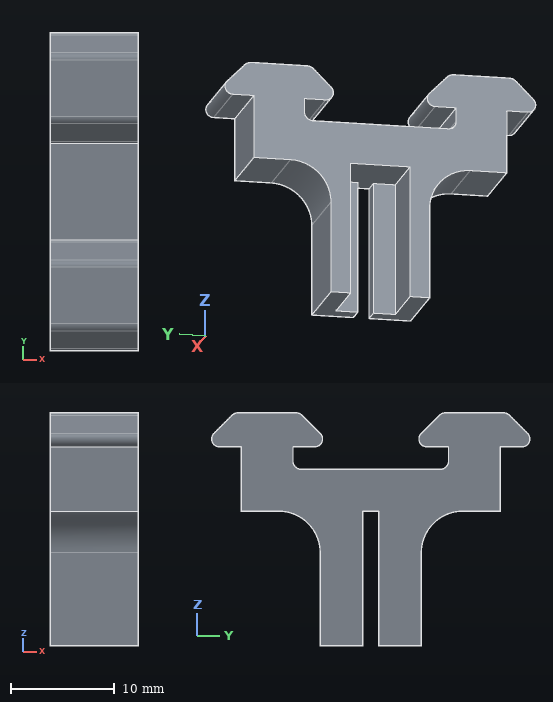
import cadquery as cq
import math

depth = 8.5
total_width = 30.7
total_height = 22.5

head_spacing = 20.0
head_height = 3.32
head_slope = 45.0
tip_radius = 0.77
shoulder_radius = 0.98

post_width = 5.0
floor_drop = 5.47
underside_drop = 9.52
floor_radius = 0.8

leg_outer_width = 9.77
leg_gap = 5.87
leg_blend_radius = 4.0
lip_gap = 1.55
lip_depth = 2.0

head_center = head_spacing / 2
head_half_width = total_width / 2 - head_center
head_bottom = total_height - head_height
floor_height = total_height - floor_drop
underside = total_height - underside_drop
bar_half_width = head_center + post_width / 2
post_inner = head_center - post_width / 2


def box(y_min, y_max, z_min, z_max, x_min=0):
    """Block between the given Y and Z limits, running from x_min to the +X end."""
    size = (depth - x_min, y_max - y_min, z_max - z_min)
    return cq.Workplane("XY").box(*size, centered=False).translate((x_min, y_min, z_min))


def make_head(center):
    """Trapezoidal head with rounded tips and softened upper corners."""
    tip_setback = tip_radius / math.tan(math.radians(head_slope / 2))
    base_half = head_half_width - tip_radius + tip_setback
    top_half = base_half - head_height / math.tan(math.radians(head_slope))
    head = (
        cq.Workplane("YZ")
        .moveTo(center - base_half, head_bottom)
        .lineTo(center + base_half, head_bottom)
        .lineTo(center + top_half, total_height)
        .lineTo(center - top_half, total_height)
        .close()
        .extrude(depth)
    )
    head = head.faces("<Z").edges("|X").fillet(tip_radius)
    return head.faces(">Z").edges("|X").fillet(shoulder_radius)


def make_body():
    """Cross bar with its two posts, rounded where the posts rise from the floor."""
    bar = box(-bar_half_width, bar_half_width, underside, head_bottom)
    channel = box(-post_inner, post_inner, floor_height, head_bottom)
    channel = channel.faces("<Z").edges("|X").fillet(floor_radius)
    return bar.cut(channel)


def make_stem():
    """Outer envelope of both legs, flaring into the underside of the bar."""
    half = leg_outer_width / 2
    flare_half = half + leg_blend_radius
    flare_bottom = underside - leg_blend_radius
    arc_reach = leg_blend_radius * math.sqrt(0.5)
    arc_y = flare_half - arc_reach
    arc_z = flare_bottom + arc_reach
    return (
        cq.Workplane("YZ")
        .moveTo(-half, 0)
        .lineTo(half, 0)
        .lineTo(half, flare_bottom)
        .threePointArc((arc_y, arc_z), (flare_half, underside))
        .lineTo(-flare_half, underside)
        .threePointArc((-arc_y, arc_z), (-half, flare_bottom))
        .close()
        .extrude(depth)
    )


def make_lips():
    """Inner lips that narrow the gap between the legs at the +X end."""
    lip_start = depth - lip_depth
    lips = box(-leg_gap / 2, leg_gap / 2, 0, underside, lip_start)
    return lips.cut(box(-lip_gap / 2, lip_gap / 2, 0, underside, lip_start))


leg_slot = box(-leg_gap / 2, leg_gap / 2, 0, underside)
result = make_body().union(make_stem().cut(leg_slot)).union(make_lips())
for side in (-1, 1):
    result = result.union(make_head(side * head_center))
result = result.clean()